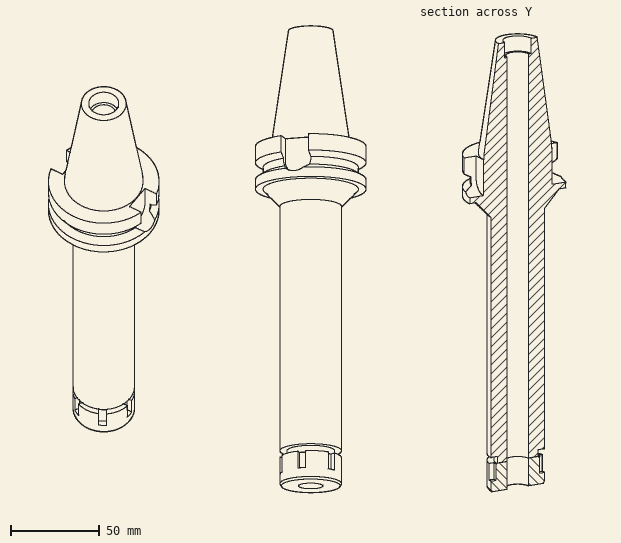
import cadquery as cq

total_length = 265.5
shank_radius = 17.5

taper_top_radius = 12.7
taper_base_radius = 22.3
taper_base_z = 200.0
bore_radius = 7.0
counterbore_radius = 8.5
counterbore_depth = 9.0

flange_diameter = 63.0
flange_radius = flange_diameter / 2
flange_top_z = 198.0
flange_bottom_z = 173.0
groove_radius = 27.0
groove_top_z = 188.5
groove_floor_top_z = 185.8
groove_floor_bottom_z = 181.3
groove_bottom_z = 178.5

keyway_width = 16.2
keyway_floor_x = 22.5
keyway_bottom_z = 176.8

cone_top_radius = 27.0
cone_bottom_z = 163.0

neck_radius = 13.5
shank_bottom_z = 20.5

nut_height = 16.5
nut_chamfer_width = 0.8
nut_chamfer_height = 1.3
wrench_slot_count = 6
wrench_slot_width = 4.5
wrench_slot_floor_radius = 14.3
wrench_slot_bottom_z = 6.6


def keyway_cutter(side):
    """Round-bottomed slot running outward along X; side is +1 or -1."""
    round_radius = keyway_width / 2
    center_z = keyway_bottom_z + round_radius
    cut_length = flange_radius - keyway_floor_x
    return (
        cq.Workplane("YZ", origin=(side * keyway_floor_x, 0, 0))
        .moveTo(-round_radius, flange_top_z)
        .lineTo(-round_radius, center_z)
        .threePointArc((0, keyway_bottom_z), (round_radius, center_z))
        .lineTo(round_radius, flange_top_z)
        .close()
        .extrude(side * cut_length)
    )


def make_holder():
    """Taper, grooved flange, shank and neck, bored through along Z."""
    profile = [
        (bore_radius, nut_height),
        (neck_radius, nut_height),
        (neck_radius, shank_bottom_z),
        (shank_radius, shank_bottom_z),
        (shank_radius, cone_bottom_z),
        (cone_top_radius, flange_bottom_z),
        (flange_radius, flange_bottom_z),
        (flange_radius, groove_bottom_z),
        (groove_radius, groove_floor_bottom_z),
        (groove_radius, groove_floor_top_z),
        (flange_radius, groove_top_z),
        (flange_radius, flange_top_z),
        (taper_base_radius, flange_top_z),
        (taper_base_radius, taper_base_z),
        (taper_top_radius, total_length),
        (counterbore_radius, total_length),
        (counterbore_radius, total_length - counterbore_depth),
        (bore_radius, total_length - counterbore_depth),
    ]
    body = cq.Workplane("XZ").polyline(profile).close().revolve(360, (0, 0), (0, 1))
    for side in (-1, 1):
        body = body.cut(keyway_cutter(side))
    return body


def wrench_slot_cutter(angle):
    """Radial slot in the nut's rim, open at the nut's top face; angle in degrees from +X."""
    slot_depth = shank_radius - wrench_slot_floor_radius
    slot_height = nut_height - wrench_slot_bottom_z
    cut_length = 2 * slot_depth
    return (
        cq.Workplane("XY")
        .box(cut_length, wrench_slot_width, slot_height, centered=(False, True, False))
        .translate((wrench_slot_floor_radius, 0, wrench_slot_bottom_z))
        .rotate((0, 0, 0), (0, 0, 1), angle)
    )


def make_nut():
    """Clamping nut seated on the end of the neck, with wrench slots around its rim."""
    profile = [
        (bore_radius, 0),
        (shank_radius - nut_chamfer_width, 0),
        (shank_radius, nut_chamfer_height),
        (shank_radius, nut_height),
        (bore_radius, nut_height),
    ]
    body = cq.Workplane("XZ").polyline(profile).close().revolve(360, (0, 0), (0, 1))
    for index in range(wrench_slot_count):
        body = body.cut(wrench_slot_cutter(index * 360 / wrench_slot_count))
    return body


holder = make_holder()
nut = make_nut()

result = cq.Compound.makeCompound([holder.val(), nut.val()])